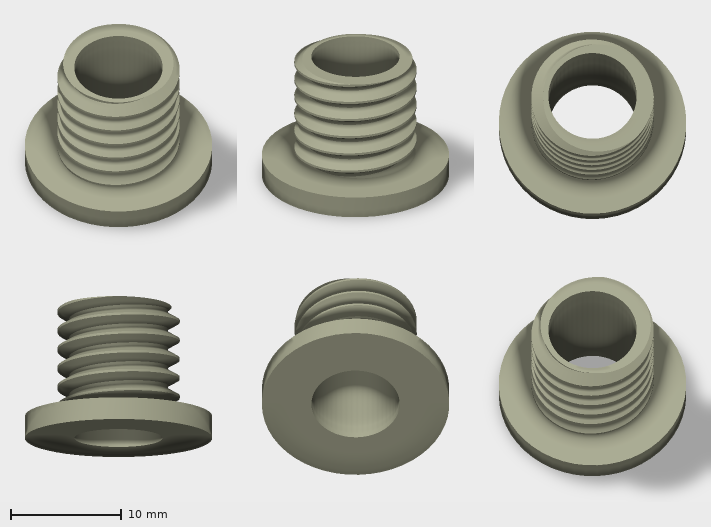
import cadquery as cq
import math

flange_diameter = 17.0
flange_thickness = 2.0
total_height = 12.0
bore_diameter = 8.0

major_diameter = 11.1
root_diameter = 9.0
pitch = 1.75
crest_width = pitch / 8
flank_half_angle = math.radians(30)
crest_height_at_x_axis = 0.65
root_overlap = 0.08

shank_length = total_height - flange_thickness
major_radius = major_diameter / 2
root_radius = root_diameter / 2


def half_width_at(radius):
    """Half the axial width of the thread ridge at a given radius."""
    return crest_width / 2 + (major_radius - radius) * math.tan(flank_half_angle)


def make_thread_ridge():
    """Sweep the ridge past both ends of the shank, then trim it flush."""
    start_z = flange_thickness + crest_height_at_x_axis - pitch
    turns = math.ceil((total_height + half_width_at(root_radius) - start_z) / pitch)
    inner_radius = root_radius - root_overlap
    inner_half_width = half_width_at(inner_radius)
    crest_half_width = half_width_at(major_radius)

    helix = cq.Wire.makeHelix(pitch, turns * pitch, root_radius).translate(cq.Vector(0, 0, start_z))
    ridge = (
        cq.Workplane("XZ")
        .polyline([
            (inner_radius, start_z - inner_half_width),
            (major_radius, start_z - crest_half_width),
            (major_radius, start_z + crest_half_width),
            (inner_radius, start_z + inner_half_width),
        ])
        .close()
        .sweep(cq.Workplane(obj=helix), isFrenet=True)
    )
    shank_envelope = (
        cq.Workplane("XY")
        .workplane(offset=flange_thickness)
        .circle(flange_diameter / 2)
        .extrude(shank_length)
    )
    return ridge.intersect(shank_envelope)


flange = cq.Workplane("XY").circle(flange_diameter / 2).extrude(flange_thickness)
core = cq.Workplane("XY").circle(root_radius).extrude(total_height)
bore = cq.Workplane("XY").circle(bore_diameter / 2).extrude(total_height)

result = core.union(make_thread_ridge()).union(flange).cut(bore)